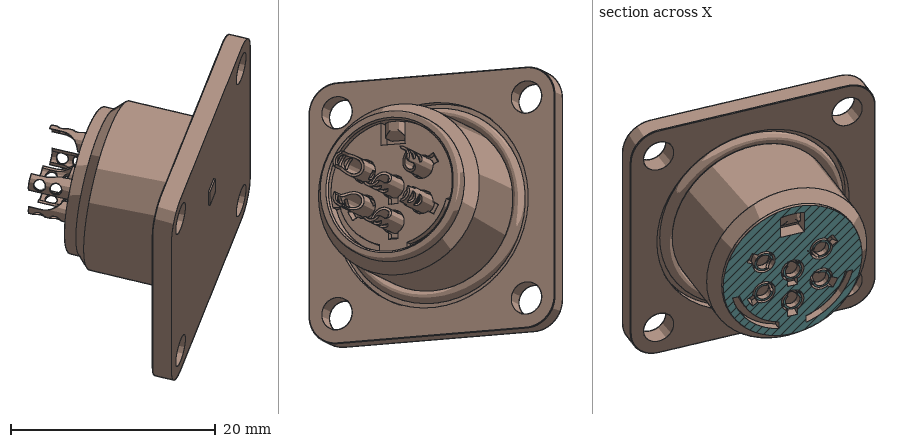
import cadquery as cq

SHELL_START = 4.68
RIM_LENGTH = 1.22
CONE_LENGTH = 1.15
FLANGE_THICKNESS = 2.0
PAD_HEIGHT = 0.18
TOTAL_LENGTH = 17.6
FLANGE_FRONT = TOTAL_LENGTH - PAD_HEIGHT
FLANGE_BACK = FLANGE_FRONT - FLANGE_THICKNESS

FLANGE_SIDE = 26
FLANGE_CORNER_RADIUS = 3.0
FLANGE_EDGE_CHAMFER = 0.08
MOUNT_HOLE_DIAMETER = 3.2
MOUNT_HOLE_PITCH = 20.02

SHELL_DIAMETER = 17.0
RIM_DIAMETER = 14.8
RIM_EDGE_FILLET = 0.18
CAVITY_DIAMETER = 13.1
CAVITY_EDGE_CHAMFER = 0.18

GROOVE_DIAMETER = 20.4
RING_SECTION_DIAMETER = 1.22
RING_PROTRUSION = 0.25
RING_SQUEEZE = 0.03

FACE_RECESS = 0.88
FACE_X = SHELL_START + FACE_RECESS
LEDGE_DEPTH = 0.88
LEDGE_RADIUS = 5.85
LEDGE_TOP_Z = -1.6
LEDGE_TAB_WIDTH = 2.9

KEYWAY_WIDTH = 2.52
KEYWAY_BOTTOM_Z = 4.2
KEYWAY_DEPTH = 1.55
KEY_BOTTOM_Z = 4.85
KEY_NOSE_RADIUS = 1.0
KEY_EDGE_RADIUS = 0.62
KEY_LENGTH = 3.9
KEY_SETBACK = 0.25

CONTACT_DIAMETER = 2.0
CUP_DIAMETER = 1.5
CUP_DEPTH = 6.25
CONTACT_CIRCLE_RADIUS = 3.5
CONTACT_SPACING_ANGLE = 60
TROUGH_LENGTH = 1.33
TROUGH_WALL_HEIGHT = 0.52
TROUGH_END_RADIUS = 1.87
SOLDER_HOLE_DIAMETER = 1.2
SOLDER_HOLE_POSITIONS = (1.1, 2.75)
VENT_HOLE_DIAMETER = 1.0
VENT_HOLE_POSITION = 5.56

POCKET_DIAMETER = 2.35
POCKET_DEPTH = 0.78
NOTCH_WIDTH = 1.01
NOTCH_REACH = 1.72
NOTCH_SLOPE = 0.25

PAD_WIDTH = 1.77
PAD_LENGTH = 2.0
PAD_CENTER_Z = 2.68


def cylinder_along_x(diameter, start, end):
    return cq.Workplane("YZ", origin=(start, 0, 0)).circle(diameter / 2).extrude(end - start)


def block(x_range, y_range, z_range):
    size = [end - start for start, end in (x_range, y_range, z_range)]
    corner = (x_range[0], y_range[0], z_range[0])
    return cq.Workplane("XY").box(*size, centered=False).translate(corner)


def make_flange():
    """Rounded square plate with corner holes and a round groove for the sealing ring."""
    flange = (
        cq.Workplane("YZ", origin=(FLANGE_BACK, 0, 0))
        .rect(FLANGE_SIDE, FLANGE_SIDE)
        .extrude(FLANGE_THICKNESS)
        .edges("|X")
        .fillet(FLANGE_CORNER_RADIUS)
        .faces("<X")
        .edges()
        .chamfer(FLANGE_EDGE_CHAMFER)
    )
    holes = (
        cq.Workplane("YZ", origin=(FLANGE_BACK, 0, 0))
        .rect(MOUNT_HOLE_PITCH, MOUNT_HOLE_PITCH, forConstruction=True)
        .vertices()
        .circle(MOUNT_HOLE_DIAMETER / 2)
        .extrude(FLANGE_THICKNESS)
    )
    groove_depth = RING_SECTION_DIAMETER - RING_PROTRUSION - RING_SQUEEZE
    ring_groove = cylinder_along_x(GROOVE_DIAMETER, FLANGE_BACK, FLANGE_BACK + groove_depth)
    return flange.cut(holes).cut(ring_groove)


def make_shell():
    """Stepped round body, filled by the insulator up to the recessed insulator face."""
    rim_radius = RIM_DIAMETER / 2
    cone_start = SHELL_START + RIM_LENGTH
    profile = (
        cq.Workplane("XY")
        .moveTo(SHELL_START, 0)
        .lineTo(SHELL_START, rim_radius)
        .lineTo(cone_start, rim_radius)
        .lineTo(cone_start + CONE_LENGTH, SHELL_DIAMETER / 2)
        .lineTo(FLANGE_FRONT, SHELL_DIAMETER / 2)
        .lineTo(FLANGE_FRONT, 0)
        .close()
    )
    shell = profile.revolve(360, (0, 0, 0), (1, 0, 0))
    shell = shell.faces("<X").edges().fillet(RIM_EDGE_FILLET)
    cavity = cylinder_along_x(CAVITY_DIAMETER, SHELL_START, FACE_X)
    mouth_edge = cq.selectors.RadiusNthSelector(0)
    return shell.cut(cavity).faces("<X").edges(mouth_edge).chamfer(CAVITY_EDGE_CHAMFER)


def make_sealing_ring():
    section_radius = RING_SECTION_DIAMETER / 2
    center_x = FLANGE_BACK - RING_PROTRUSION + section_radius
    center_y = SHELL_DIAMETER / 2 + section_radius - RING_SQUEEZE
    return (
        cq.Workplane("XY")
        .center(center_x, center_y)
        .circle(section_radius)
        .revolve(360, (0, -center_y, 0), (1, -center_y, 0))
    )


def make_ledge_cut():
    """Step around the lower edge of the insulator, interrupted by a tab at the bottom."""
    cavity_radius = CAVITY_DIAMETER / 2
    x_range = (FACE_X, FACE_X + LEDGE_DEPTH)
    annulus = cylinder_along_x(CAVITY_DIAMETER, *x_range).cut(cylinder_along_x(2 * LEDGE_RADIUS, *x_range))
    lower_part = block(x_range, (-cavity_radius, cavity_radius), (-cavity_radius, LEDGE_TOP_Z))
    tab = block(x_range, (-LEDGE_TAB_WIDTH / 2, LEDGE_TAB_WIDTH / 2), (-cavity_radius, LEDGE_TOP_Z))
    return annulus.intersect(lower_part).cut(tab)


def make_keyway():
    half_width = KEYWAY_WIDTH / 2
    x_range = (FACE_X, FACE_X + KEYWAY_DEPTH)
    slot = block(x_range, (-half_width, half_width), (KEYWAY_BOTTOM_Z, CAVITY_DIAMETER / 2))
    return slot.intersect(cylinder_along_x(CAVITY_DIAMETER, *x_range))


def make_key():
    """Bar with rounded lower edges and a rounded nose, running forward inside the body."""
    half_width = KEYWAY_WIDTH / 2
    key_start = FACE_X + KEY_SETBACK
    key_end = key_start + KEY_LENGTH
    key = block((key_start, key_end), (-half_width, half_width), (KEY_BOTTOM_Z, SHELL_DIAMETER / 2))
    rounded_sides = key.edges("|X").fillet(KEY_EDGE_RADIUS)
    rounded_nose = key.faces("<X").edges().fillet(KEY_NOSE_RADIUS)
    return rounded_sides.intersect(rounded_nose).intersect(cylinder_along_x(RIM_DIAMETER, key_start, key_end))


def cross_hole(position, diameter, reach):
    """Hole along Z from the contact axis out to the given height."""
    return cq.Workplane("XY", origin=(position, 0, 0)).circle(diameter / 2).extrude(reach)


def make_contact():
    """Contact on the X axis whose open solder cup keeps its wall on the -Z side; the vent opens to +Z."""
    radius = CONTACT_DIAMETER / 2
    contact = cylinder_along_x(CONTACT_DIAMETER, 0, FACE_X + POCKET_DEPTH)
    contact = contact.cut(cylinder_along_x(CUP_DIAMETER, 0, CUP_DEPTH))
    trough_z = TROUGH_WALL_HEIGHT - radius
    trough_top = trough_z + TROUGH_END_RADIUS
    trough = (
        cq.Workplane("XZ")
        .moveTo(0, trough_z)
        .lineTo(TROUGH_LENGTH, trough_z)
        .radiusArc((TROUGH_LENGTH + TROUGH_END_RADIUS, trough_top), -TROUGH_END_RADIUS)
        .lineTo(0, trough_top)
        .close()
        .extrude(radius, both=True)
    )
    contact = contact.cut(trough)
    for position in SOLDER_HOLE_POSITIONS:
        contact = contact.cut(cross_hole(position, SOLDER_HOLE_DIAMETER, -radius))
    return contact.cut(cross_hole(VENT_HOLE_POSITION, VENT_HOLE_DIAMETER, radius))


def make_pocket(slope):
    """Clearance around a contact on the X axis, with a notch on its -Z side ending in a slope."""
    pocket = cylinder_along_x(POCKET_DIAMETER, FACE_X, FACE_X + POCKET_DEPTH)
    notch = (
        cq.Workplane("XZ")
        .moveTo(FACE_X, 0)
        .lineTo(FACE_X, -NOTCH_REACH)
        .lineTo(FACE_X + POCKET_DEPTH, slope - NOTCH_REACH)
        .lineTo(FACE_X + POCKET_DEPTH, 0)
        .close()
        .extrude(NOTCH_WIDTH / 2, both=True)
    )
    return pocket.union(notch)


def make_pad():
    y_range = (-PAD_WIDTH / 2, PAD_WIDTH / 2)
    z_range = (PAD_CENTER_Z - PAD_LENGTH / 2, PAD_CENTER_Z + PAD_LENGTH / 2)
    return block((FLANGE_FRONT, TOTAL_LENGTH), y_range, z_range)


def around_circle(shape, index):
    """Move a shape below the X axis to one of the contact places, index 0 being the lowest."""
    lowered = shape.translate((0, 0, -CONTACT_CIRCLE_RADIUS))
    return lowered.rotate((0, 0, 0), (1, 0, 0), index * CONTACT_SPACING_ANGLE)


result = make_shell().union(make_flange()).union(make_sealing_ring())
result = result.cut(make_ledge_cut()).cut(make_keyway()).union(make_key())

result = result.cut(make_pocket(0)).union(make_contact())
for place in (-2, -1, 0, 1, 2):
    result = result.cut(around_circle(make_pocket(NOTCH_SLOPE), place))
    result = result.union(around_circle(make_contact(), place))
result = result.union(make_pad())